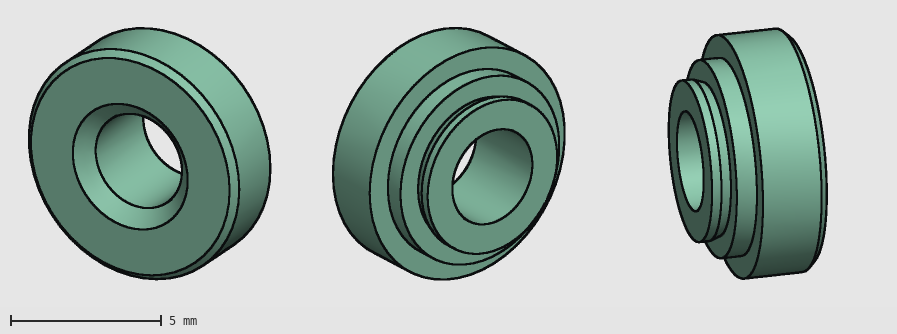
import cadquery as cq

body_radius = 4.06
front_face_radius = 3.83
step_radius = 3.305
lip_radius = 2.695
neck_radius = 2.57
bore_radius = 1.665
countersink_radius = 2.22

total_length = 3.63
chamfer_length = 0.24
body_length = 2.26
step_length = 0.69
lip_length = 0.325
countersink_depth = countersink_radius - bore_radius

step_end = body_length + step_length
lip_start = total_length - lip_length

section = [
    (countersink_radius, 0),
    (front_face_radius, 0),
    (body_radius, chamfer_length),
    (body_radius, body_length),
    (step_radius, body_length),
    (step_radius, step_end),
    (neck_radius, step_end),
    (lip_radius, lip_start),
    (lip_radius, total_length),
    (bore_radius, total_length),
    (bore_radius, countersink_depth),
]
result = cq.Workplane("XY").polyline(section).close().revolve(360, (0, 0, 0), (0, 1, 0))